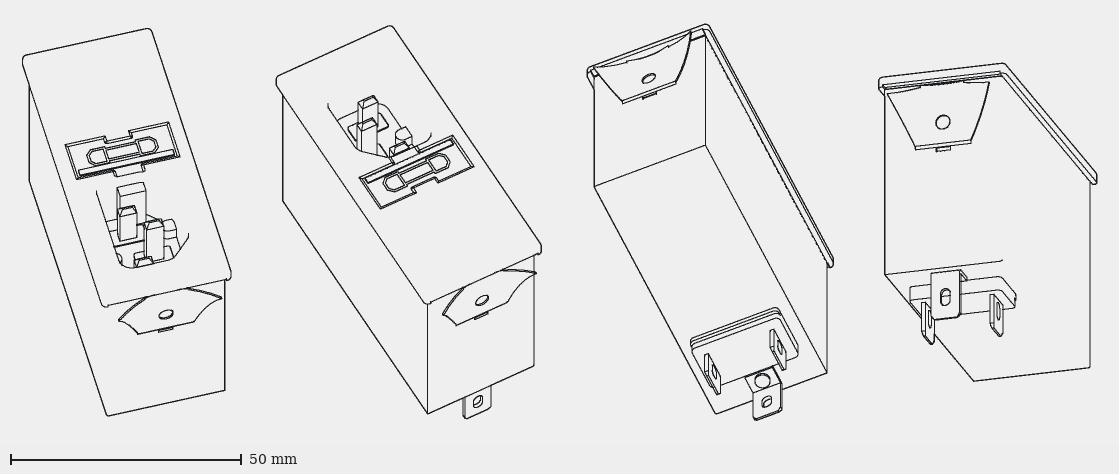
import cadquery as cq
import math


octagon_inset = 2 - math.sqrt(2)

flange_length = 67.75
flange_width = 29.1
flange_height = 2.6
flange_corner_round = 1.1
flange_top_round = 0.9
end_gap_height = 0.5
end_gap_depth = 0.2

body_length = 64.8
body_width = 26.6
body_depth = 43.3
body_edge_round = 0.5

clip_reach = 36.35
clip_thickness = 0.35
clip_top = -0.5
clip_top_half = 4.95
clip_shoulder = -0.95
clip_tip_y = 11.55
clip_tip_z = -2.75
clip_base_half = 6.3
clip_base_z = -14.3
clip_lip_height = 0.65
clip_hole_radius = 1.6
clip_hole_z = -9.4
bend_overrun = 1.1
clip_pocket_half = 1.6
clip_pocket_height = 0.95
clip_pocket_depth = 0.4

rim_round = 0.5
socket_left = 2.3
socket_right = 27.4
socket_half = 8.8
socket_corner_cut = 5.45
socket_upper_round = 3.6
socket_lower_round = 3.4
socket_depth = 16
socket_middle = (socket_left + socket_right) / 2
socket_floor = flange_height - socket_depth

blade_thickness = 2.0
blade_width = 3.85
blade_roof = 1.3
blade_roof_inset = 0.8
outer_blade_spacing = 7.0
outer_blade_y = -2.0
outer_blade_top = -2.5
earth_blade_y = 2.1
earth_blade_top = 0.6
pad_length = 4.1
pad_width = 8.2
pad_round = 0.5
pad_height = 0.35
key_radius = 1.45
key_inner_y = 5.15
key_spacing = 5.5
key_height = 2.9

drawer_left = -8.3
drawer_right = 1.3
drawer_half = 11.6
drawer_notch_depth = 1.45
drawer_notch_half = 2.6
drawer_tongue_half = 3.4
drawer_depth = 0.2
drawer_border = 0.5
drawer_floor = flange_height - drawer_depth
ledge_length = 2.5
ledge_top = -1.45
symbol_x = -3.5
symbol_line = 0.5
symbol_height = 0.1
symbol_half_length = 7.8
cap_width = 4.35
cap_length = 4.35
cap_corner_cut = 1.15
tube_width = 3.4
legend_x = -0.2
legend_width = 1.4
legend_length = 21.2
legend_top = 2.75

base_left = -24.05
base_width = 20.9
base_length = 11.1
base_height = 3.1
base_step_length = 11.85
base_step_height = 1.2
base_round = 1.0

tab_width = 6.55
tab_thickness = 0.9
tab_tip_height = 0.9
tab_tip_corner = 0.65
tab_tip_thickness = 0.4
tab_slot_width = 2.2
tab_slot_length = 3.9
tab_slot_to_end = 4.9
line_tab_x = -18.7
line_tab_y = 7.8
line_tab_end = -54.0

earth_tab_end = -54.45
bracket_left = -30.95
bracket_right = -25.7
bracket_bend_round = 0.9
rivet_x = -27.85
rivet_radius = 1.7
rivet_height = 0.6


def block(x_min, x_max, width, z_min, z_max):
    """Box between two X places and two Z places, centred on Y = 0."""
    size = (x_max - x_min, width, z_max - z_min)
    return cq.Workplane("XY").box(*size, centered=(False, True, False)).translate((x_min, 0, z_min))


def make_flange():
    flange = cq.Workplane("XY").box(flange_length, flange_width, flange_height, centered=(True, True, False))
    flange = flange.edges("|Z").fillet(flange_corner_round).faces(">Z").edges().fillet(flange_top_round)
    end_gaps = block(-flange_length / 2, flange_length / 2, body_width, 0, end_gap_height)
    return flange.cut(end_gaps)


def make_body():
    body = block(-body_length / 2, body_length / 2, body_width, -body_depth, 0)
    body = body.faces("<Y").edges("|Z or <Z").fillet(body_edge_round)
    neck = block(
        end_gap_depth - body_length / 2, body_length / 2 - end_gap_depth,
        body_width - 2 * end_gap_depth, 0, end_gap_height)
    return body.union(neck)


def make_clip():
    """Spring clip on the -X end: a flat triangle with two wings curling outward."""
    wall_x = -body_length / 2
    face_x = wall_x - clip_thickness
    triangle = [(0, clip_top), (clip_base_half, clip_base_z), (-clip_base_half, clip_base_z)]
    clip = cq.Workplane("YZ", origin=(face_x, 0, 0)).polyline(triangle).close().extrude(clip_thickness)
    lip = (
        cq.Workplane("XZ", origin=(0, clip_base_half, 0))
        .polyline([(face_x, clip_base_z), (wall_x, clip_base_z), (wall_x, clip_base_z - clip_lip_height)])
        .close()
        .extrude(2 * clip_base_half)
    )

    fold_length = math.hypot(clip_base_half, clip_top - clip_base_z)
    fold_y = clip_base_half / fold_length
    fold_z = (clip_base_z - clip_top) / fold_length
    tip_from_fold = (clip_tip_z - clip_top) * fold_y - clip_tip_y * fold_z
    tip_rise = clip_reach + face_x
    radius = (tip_from_fold ** 2 + tip_rise ** 2) / (2 * tip_rise)
    bend_angle = math.asin(tip_from_fold / radius) * bend_overrun
    centre = -clip_thickness - radius

    def bend_point(r, angle):
        return (r * math.sin(angle), centre + r * math.cos(angle))

    inner = radius + clip_thickness
    fold_plane = cq.Plane(
        origin=(wall_x, 0, clip_top), xDir=(0, -fold_z, fold_y), normal=(0, fold_y, fold_z))
    bend = (
        cq.Workplane(fold_plane)
        .moveTo(0, 0)
        .threePointArc(bend_point(inner, bend_angle / 2), bend_point(inner, bend_angle))
        .lineTo(*bend_point(radius, bend_angle))
        .threePointArc(bend_point(radius, bend_angle / 2), (0, -clip_thickness))
        .close()
        .extrude(fold_length)
    )
    wing_outline = [
        (0, clip_top), (clip_top_half, clip_top), (clip_top_half, clip_shoulder),
        (clip_tip_y, clip_tip_z), (clip_base_half, clip_base_z),
    ]
    wing_blank = (
        cq.Workplane("YZ", origin=(-clip_reach, 0, 0))
        .polyline(wing_outline).close().extrude(clip_reach + wall_x)
    )
    wing = bend.intersect(wing_blank)
    hole = (
        cq.Workplane("YZ", origin=(face_x, 0, clip_hole_z))
        .circle(clip_hole_radius).extrude(clip_thickness)
    )
    return clip.union(lip).union(wing).union(wing.mirror("XZ")).cut(hole)


def make_clip_pocket():
    pocket_top = clip_base_z - clip_lip_height
    return block(
        -body_length / 2, clip_pocket_depth - body_length / 2,
        2 * clip_pocket_half, pocket_top - clip_pocket_height, pocket_top)


def cut_socket(part):
    """Cut the socket well, with chamfered upper corners, and round its rim."""
    left = socket_left + rim_round
    right = socket_right - rim_round
    half = socket_half - rim_round
    margin = 0.7
    cut = socket_corner_cut - rim_round * octagon_inset
    points = [
        (left, -half), (right, -half), (right, half - cut),
        (right - cut, half), (left + cut, half), (left, half - cut),
    ]
    well = cq.Workplane("XY", origin=(0, 0, socket_floor)).polyline(points).close().extrude(socket_depth)
    upper_corners = cq.selectors.BoxSelector(
        (left - margin, 0, socket_floor - margin), (right + margin, half + margin, flange_height + margin))
    well = well.edges("|Z").edges(upper_corners).fillet(socket_upper_round - rim_round)
    well = well.edges("|Z and <Y").fillet(socket_lower_round - rim_round)
    rim_edges = cq.selectors.BoxSelector(
        (left - margin, -half - margin, drawer_floor),
        (right + margin, half + margin, flange_height + margin))
    return part.cut(well).edges(rim_edges).fillet(rim_round)


def make_blade(x, y, top):
    eaves = top - blade_roof
    blade = (
        cq.Workplane("XY", origin=(x, y, socket_floor))
        .rect(blade_thickness, blade_width).extrude(eaves - socket_floor)
    )
    slope = math.degrees(math.atan2(blade_roof_inset, blade_roof))
    roof = (
        cq.Workplane("XY", origin=(x, y, eaves))
        .rect(blade_thickness, blade_width).extrude(blade_roof, taper=slope)
    )
    pad = (
        cq.Workplane("XY", origin=(x, y, socket_floor))
        .rect(pad_length, pad_width).extrude(pad_height).edges("|Z").fillet(pad_round)
    )
    return blade.union(roof).union(pad)


def make_key(x, side):
    """Low round-nosed rib on the socket floor against the +Y or -Y wall."""
    nose_y = key_inner_y + key_radius
    wall_y = socket_half
    key = (
        cq.Workplane("XY", origin=(0, 0, socket_floor))
        .moveTo(x - key_radius, side * wall_y)
        .lineTo(x - key_radius, side * nose_y)
        .threePointArc((x, side * key_inner_y), (x + key_radius, side * nose_y))
        .lineTo(x + key_radius, side * wall_y)
        .close()
    )
    return key.extrude(key_height)


def make_drawer_recess():
    notch_x = drawer_left + drawer_notch_depth
    tongue_x = socket_left + ledge_length
    points = [
        (drawer_left, drawer_half), (drawer_right, drawer_half),
        (drawer_right, drawer_tongue_half), (tongue_x, drawer_tongue_half),
        (tongue_x, -drawer_tongue_half), (drawer_right, -drawer_tongue_half),
        (drawer_right, -drawer_half), (drawer_left, -drawer_half),
        (drawer_left, -drawer_notch_half), (notch_x, -drawer_notch_half),
        (notch_x, drawer_notch_half), (drawer_left, drawer_notch_half),
    ]
    top = cq.Workplane("XY", origin=(0, 0, flange_height)).polyline(points).close()
    slope = math.degrees(math.atan2(drawer_border, drawer_depth))
    return top.extrude(-drawer_depth, taper=slope)


def fuse_cap(inset):
    """Cap of the fuse symbol with two cut corners, moved inward by inset."""
    cap = (
        cq.Workplane("XY", origin=(symbol_x, symbol_half_length - cap_length / 2, drawer_floor))
        .rect(cap_width - 2 * inset, cap_length - 2 * inset).extrude(symbol_height)
    )
    return cap.edges("|Z and >Y").chamfer(cap_corner_cut - inset * octagon_inset)


def make_fuse_symbol():
    """Raised outline of a cartridge fuse: two end caps joined by a tube."""
    cap = fuse_cap(0).cut(fuse_cap(symbol_line))
    tube_length = 2 * (symbol_half_length - cap_length + symbol_line)
    tube = (
        cq.Workplane("XY", origin=(symbol_x, 0, drawer_floor))
        .rect(tube_width, tube_length)
        .rect(tube_width - 2 * symbol_line, tube_length - 2 * symbol_line)
        .extrude(symbol_height)
    )
    return tube.union(cap).union(cap.mirror("XZ"))


def make_legend():
    """Plain raised strip that carries the fuse legend."""
    return block(
        legend_x - legend_width / 2, legend_x + legend_width / 2, legend_length, drawer_floor, legend_top)


def make_ledge():
    wall_x = socket_left + rim_round
    width = 2 * (drawer_tongue_half - drawer_border)
    return block(wall_x, wall_x + ledge_length, width, socket_floor, ledge_top)


def make_base():
    top = -body_depth
    base = block(base_left, base_left + base_length, base_width, top - base_height, top)
    step = block(base_left, base_left + base_step_length, base_width, top - base_step_height, top)
    return base.edges("|Z").fillet(base_round).union(step.edges("|Z").fillet(base_round))


def make_tab(end_z):
    """Slotted flat tab in the XZ plane, from the housing underside down to end_z."""
    shoulder_z = end_z + tab_tip_height
    tab = block(-tab_width / 2, tab_width / 2, tab_thickness, shoulder_z, -body_depth)
    tip = (
        cq.Workplane("XY", origin=(0, 0, end_z))
        .rect(tab_width - 2 * tab_tip_corner, tab_tip_thickness)
        .workplane(offset=tab_tip_height)
        .rect(tab_width, tab_thickness)
        .loft(ruled=True)
    )
    slot = (
        cq.Workplane("XZ", origin=(0, 0, end_z + tab_slot_to_end))
        .slot2D(tab_slot_length, tab_slot_width, 90).extrude(tab_thickness, both=True)
    )
    return tab.union(tip).cut(slot)


def make_earth_terminal():
    foot_z = -body_depth - tab_thickness
    foot = block(bracket_left, bracket_right, tab_width, foot_z, -body_depth)
    tab = make_tab(earth_tab_end).rotate((0, 0, 0), (0, 0, 1), 90)
    bracket = foot.union(tab.translate((bracket_left + tab_thickness / 2, 0, 0)))
    bracket = bracket.edges("|Y and >Z and <X").fillet(bracket_bend_round)
    rivet = (
        cq.Workplane("XY", origin=(rivet_x, 0, foot_z))
        .circle(rivet_radius).extrude(-rivet_height)
    )
    return bracket.union(rivet)


result = make_flange().union(make_body())
result = cut_socket(result).cut(make_drawer_recess())
for pocket in (make_clip_pocket(), make_clip_pocket().mirror("YZ")):
    result = result.cut(pocket)

result = result.union(make_ledge())
result = result.union(make_blade(socket_middle, earth_blade_y, earth_blade_top))
for side in (-1, 1):
    outer_blade_x = socket_middle + side * outer_blade_spacing
    result = result.union(make_blade(outer_blade_x, outer_blade_y, outer_blade_top))
    result = result.union(make_key(socket_middle + side * key_spacing, 1))
result = result.union(make_key(socket_middle, -1))

result = result.union(make_fuse_symbol()).union(make_legend())

result = result.union(make_clip()).union(make_clip().mirror("YZ"))

result = result.union(make_base()).union(make_earth_terminal())
for side in (-1, 1):
    result = result.union(make_tab(line_tab_end).translate((line_tab_x, side * line_tab_y, 0)))